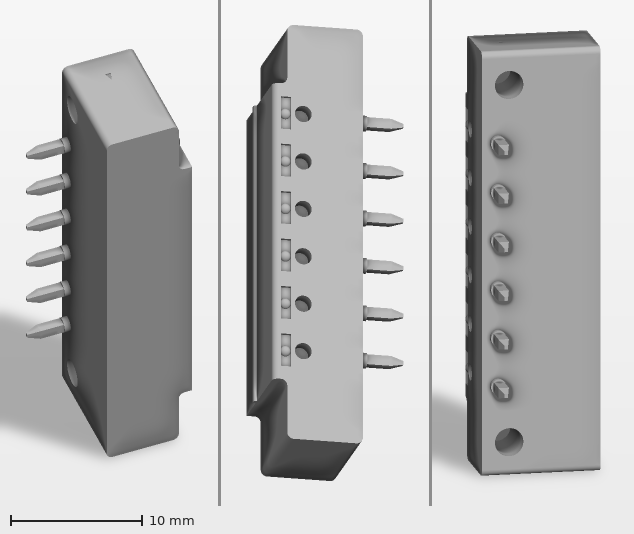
import cadquery as cq

housing_width = 9.2
body_depth = 5.9
housing_height = 33.25
flange_depth = 7.0
flange_height = 23.75
board_edge_radius = 0.5
back_edge_radius = 0.5
step_radius = 0.5
flange_edge_radius = 0.5

rib_height = 0.25
rib_width = 0.45
rib_start_x = 5.6
rib_rounding = 0.2
rib_root = 0.1

pin_count = 6
pin_pitch = 3.81
pin_x = 1.2
pin_side = 0.8
pin_tip_side = 0.3
pin_reach = 3.4
pin_taper_length = 1.0
collar_diameter = 1.2
collar_length = 0.5

mounting_hole_diameter = 2.2
mounting_hole_depth = 5.0
mounting_hole_x = 2.1
mounting_hole_spacing = 28.0

round_hole_diameter = 1.3
round_hole_depth = 1.2
round_hole_y = 4.65
window_depth = 0.3
window_size_y = 0.8
window_size_z = 2.6
window_y = 6.0
contact_radius = 0.425
contact_protrusion = 0.1

mark_x = 1.9
mark_y = 3.0
mark_length = 0.7
mark_width = 0.5
mark_depth = 0.1

pin_positions = [(i - (pin_count - 1) / 2) * pin_pitch for i in range(pin_count)]


def make_housing():
    """Body with a shorter, deeper flange at the back."""
    body = cq.Workplane("XY").box(housing_width, body_depth, housing_height, centered=(False, False, True))
    body = body.edges("|X and <Y").fillet(board_edge_radius)
    body = body.edges("|X and >Y").fillet(back_edge_radius)

    flange = cq.Workplane("XY").box(housing_width, flange_depth, flange_height, centered=(False, False, True))
    flange = flange.edges("|Z and <X and >Y").fillet(flange_edge_radius)
    housing = body.union(flange)
    for side in (-1, 1):
        housing = housing.union(make_step_fillet(side))
    return housing


def make_step_fillet(side):
    """Concave fillet between the back of the body and one end of the flange."""
    corner_z = side * flange_height / 2
    block = cq.Workplane("XY").box(housing_width, step_radius, step_radius, centered=(False, False, True))
    block = block.translate((0, body_depth, corner_z + side * step_radius / 2))
    round_cut = (
        cq.Workplane("YZ")
        .center(body_depth + step_radius, corner_z + side * step_radius)
        .circle(step_radius)
        .extrude(housing_width)
    )
    return block.cut(round_cut)


def make_rib():
    """Latch rib, rounded on the edge nearest the side face."""
    rib = cq.Workplane("XY").box(rib_width, rib_height + rib_root, flange_height, centered=(False, False, True))
    rib = rib.edges("|Z and <X and >Y").fillet(rib_rounding)
    return rib.translate((rib_start_x, flange_depth - rib_root, 0))


def make_pin(z):
    """Square pin with a tapered tip and a round collar, standing on the board face."""
    board_face = cq.Workplane("XZ").center(pin_x, z)
    shaft_length = pin_reach - pin_taper_length
    collar = board_face.circle(collar_diameter / 2).extrude(collar_length)
    shaft = board_face.rect(pin_side, pin_side).extrude(shaft_length)
    tip = (
        board_face.workplane(offset=shaft_length)
        .rect(pin_side, pin_side)
        .workplane(offset=pin_taper_length)
        .rect(pin_tip_side, pin_tip_side)
        .loft(ruled=True)
    )
    return collar.union(shaft).union(tip)


def cut_mounting_holes(part):
    for side in (-1, 1):
        hole = (
            cq.Workplane("XZ")
            .center(mounting_hole_x, side * mounting_hole_spacing / 2)
            .circle(mounting_hole_diameter / 2)
            .extrude(-mounting_hole_depth)
        )
        part = part.cut(hole)
    return part


def cut_side_openings(part, z):
    """Round hole and contact window in the side face, with the domed contact in the window."""
    round_hole = (
        cq.Workplane("YZ").center(round_hole_y, z).circle(round_hole_diameter / 2).extrude(round_hole_depth)
    )
    window = cq.Workplane("YZ").center(window_y, z).rect(window_size_y, window_size_z).extrude(window_depth)
    contact = cq.Workplane("XY").sphere(contact_radius)
    contact = contact.translate((contact_radius - contact_protrusion, window_y, z))
    return part.cut(round_hole).cut(window).union(contact)


def cut_pin_one_mark(part):
    mark = (
        cq.Workplane("XY", origin=(mark_x, mark_y, housing_height / 2))
        .moveTo(0, -mark_width / 2)
        .lineTo(mark_length, 0)
        .lineTo(0, mark_width / 2)
        .close()
        .extrude(-mark_depth)
    )
    return part.cut(mark)


result = make_housing().union(make_rib())
result = cut_mounting_holes(result)
for pin_z in pin_positions:
    result = cut_side_openings(result, pin_z)
    result = result.union(make_pin(pin_z))
result = cut_pin_one_mark(result)